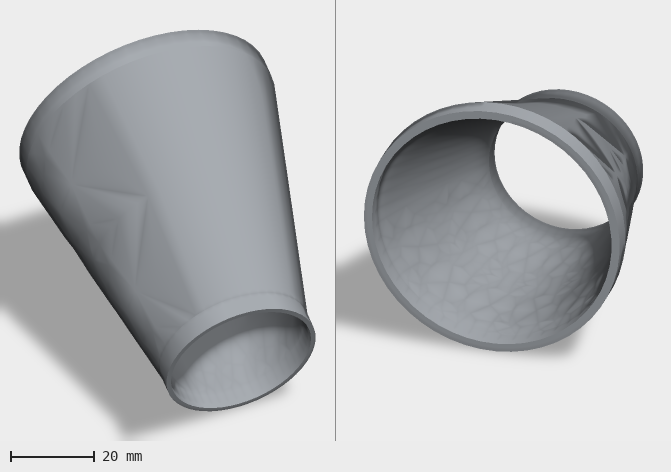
import cadquery as cq

length = 67.0
collar_length = 5.1
large_outer_diameter = 63.5
large_inner_diameter = 59.5
small_outer_diameter = 38.1
small_inner_diameter = 35.7

small_end_z = (small_outer_diameter - large_outer_diameter) / 2
taper_length = length - 2 * collar_length


def reducer_solid(large_diameter, small_diameter):
    """Straight collar, eccentric taper and straight collar, all solid."""
    large_collar = cq.Workplane("YZ").circle(large_diameter / 2).extrude(collar_length)
    taper = (
        cq.Workplane("YZ", origin=(collar_length, 0, 0))
        .circle(large_diameter / 2)
        .workplane(offset=taper_length)
        .center(0, small_end_z)
        .circle(small_diameter / 2)
        .loft(ruled=True)
    )
    small_collar = (
        cq.Workplane("YZ", origin=(length - collar_length, 0, small_end_z))
        .circle(small_diameter / 2)
        .extrude(collar_length)
    )
    return large_collar.union(taper).union(small_collar)


outer_body = reducer_solid(large_outer_diameter, small_outer_diameter)
bore = reducer_solid(large_inner_diameter, small_inner_diameter)
result = outer_body.cut(bore)